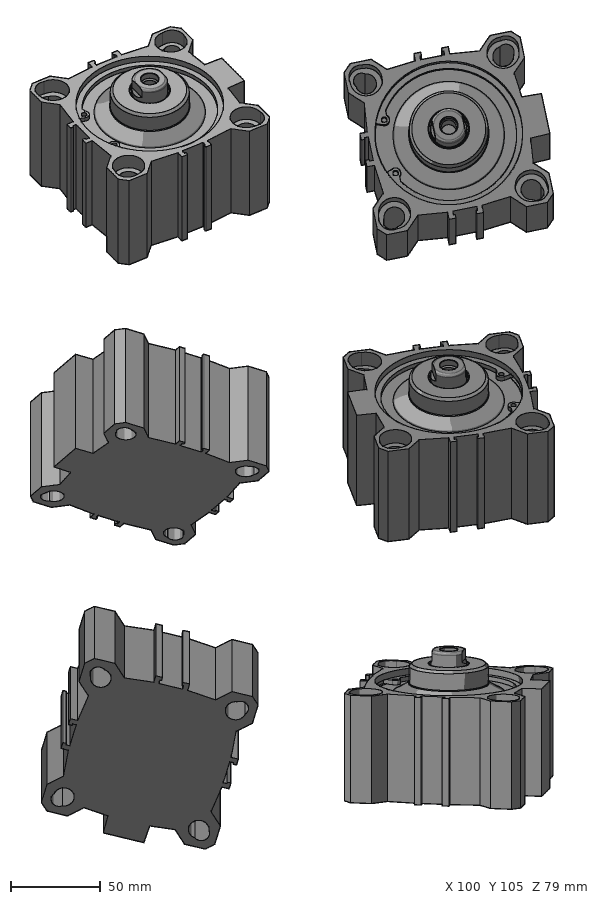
import cadquery as cq
import math

body_half = 50.0
body_height = 61.0
corner_flat_end = 33.7
corner_chamfer = 4.4
waist_start = 26.2
waist_at_corner = 42.5
waist_at_middle = 44.2

rib_reach = 48.4
rib_outer = 9.8
rib_thickness = 2.9
hook_length = 0.9
hook_thickness = 2.1
hook_radius = 0.4
rib_root = 1.0

port_reach = 55.0
port_tip_width = 23.4
port_root_width = 24.2

bolt_offset = 38.8
bolt_diameter = 11.4
bolt_bore_diameter = 18.0
relief_offset = 41.0
relief_diameter = 9.0
relief_bore_diameter = 14.2
bolt_bore_depth = 9.0

recess_diameter = 82.1
groove_diameter = 85.6

ring_depth = 3.7
ring_thickness = 2.5
ring_inner_diameter = 75.5
ring_top = body_height - ring_depth
ring_bottom = ring_top - ring_thickness
lug_radial = 36.9
lug_angle = 25.0
lug_diameter = 5.9
lug_hole_diameter = 3.0
lug_shoulder = 31.5

cover_diameter = 81.7
cover_thickness = 21.0
cover_top = ring_bottom
cover_bottom = cover_top - cover_thickness
cone_diameter = 62.0
cone_tip_diameter = 44.7
cone_rise = 4.7
cone_foot_chamfer = 0.4
boss_foot_height = 0.5
boss_diameter = 44.0
boss_top = 71.0
boss_chamfer = 1.5
mouth_diameter = 23.0
wiper_diameter = 21.9
wiper_depth = 1.6
lip_diameter = 20.6

rod_diameter = 20.0
rod_top = 79.0
rod_fillet = 1.6
flat_half_width = 8.5
flat_height = 6.0
tap_mouth_diameter = 10.3
tap_mouth_chamfer = 0.2
tap_mouth_depth = 3.7
tap_seat_depth = 0.9
tap_diameter = 8.4
tap_depth = 15.8
tap_point_angle = 118.0


def cylinder(diameter, bottom, top):
    return cq.Workplane("XY").workplane(offset=bottom).circle(diameter / 2).extrude(top - bottom)


def turn(points):
    """Solid of revolution about Z from (radius, height) points."""
    return cq.Workplane("XZ").polyline(points).close().revolve(360, (0, 0), (0, 1))


def rotate_point(point, angle):
    c = math.cos(math.radians(angle))
    s = math.sin(math.radians(angle))
    return (point[0] * c - point[1] * s, point[0] * s + point[1] * c)


def make_profile():
    chamfer_start = body_half - corner_chamfer
    quarter = [
        (body_half, corner_flat_end),
        (body_half, chamfer_start),
        (chamfer_start, body_half),
        (corner_flat_end, body_half),
        (waist_start, waist_at_corner),
        (rib_outer, waist_at_middle),
        (-rib_outer, waist_at_middle),
        (-waist_start, waist_at_corner),
    ]
    outline = [rotate_point(p, angle) for angle in (0, 90, 180, 270) for p in quarter]
    return cq.Workplane("XY").polyline(outline).close().extrude(body_height)


def make_rib_pair():
    """Two facing hooked ribs on the +X side."""
    root = waist_at_middle - rib_root
    inner = rib_outer - rib_thickness
    tip = inner - hook_length
    rib = (
        cq.Workplane("XY")
        .moveTo(root, rib_outer)
        .lineTo(rib_reach, rib_outer)
        .lineTo(rib_reach, tip)
        .lineTo(rib_reach - hook_thickness, tip)
        .lineTo(rib_reach - hook_thickness, inner)
        .lineTo(root, inner)
        .close()
        .extrude(body_height)
    )
    hook_edges = cq.selectors.BoxSelector(
        (rib_reach - hook_thickness - hook_radius, tip - hook_radius, 0),
        (rib_reach + hook_radius, tip + hook_radius, body_height),
    )
    rib = rib.edges("|Z").edges(hook_edges).fillet(hook_radius)
    return rib.union(rib.mirror("XZ"))


def make_port_block():
    root = waist_at_middle - rib_root
    return (
        cq.Workplane("XY")
        .polyline([
            (-port_root_width / 2, root),
            (port_root_width / 2, root),
            (port_tip_width / 2, port_reach),
            (-port_tip_width / 2, port_reach),
        ])
        .close()
        .extrude(body_height)
    )


def make_bolt_hole(angle):
    bore_floor = body_height - bolt_bore_depth
    hole = None
    for offset, through, bore in (
        (bolt_offset, bolt_diameter, bolt_bore_diameter),
        (relief_offset, relief_diameter, relief_bore_diameter),
    ):
        lobe = cylinder(through, 0, body_height).union(cylinder(bore, bore_floor, body_height))
        lobe = lobe.translate((offset, offset, 0))
        hole = lobe if hole is None else hole.union(lobe)
    return hole.rotate((0, 0, 0), (0, 0, 1), angle)


def make_housing():
    body = make_profile().union(make_port_block())
    for angle in (0, 180, 270):
        body = body.union(make_rib_pair().rotate((0, 0, 0), (0, 0, 1), angle))
    for angle in (0, 90, 180, 270):
        body = body.cut(make_bolt_hole(angle))
    body = body.cut(cylinder(recess_diameter, cover_bottom, body_height))
    return body.cut(cylinder(groove_diameter, ring_bottom, ring_top))


def ring_plate(points):
    return cq.Workplane("XY").workplane(offset=ring_bottom).polyline(points).close().extrude(ring_thickness)


def make_retaining_ring():
    outer = groove_diameter / 2
    inner = ring_inner_diameter / 2
    lug_radius = lug_diameter / 2
    end_angle = lug_angle - math.degrees(math.asin(lug_radius / lug_radial))
    shoulder_x = math.sqrt(inner ** 2 - lug_shoulder ** 2)
    lug = rotate_point((0, -lug_radial), lug_angle)
    touch = rotate_point((0, -math.sqrt(lug_radial ** 2 - lug_radius ** 2)), end_angle)
    end = rotate_point((0, -outer), end_angle)

    disc = cylinder(groove_diameter, ring_bottom, ring_top)
    gap_corner = rotate_point((0, -2 * outer), end_angle)
    gap = ring_plate([(0, 0), gap_corner, (-gap_corner[0], gap_corner[1])])
    ring = disc.cut(cylinder(ring_inner_diameter, ring_bottom, ring_top)).cut(gap)

    web = ring_plate([
        (shoulder_x, -lug_shoulder),
        (lug[0], -lug_shoulder),
        lug,
        touch,
        end,
        (shoulder_x, -inner),
    ]).intersect(disc)
    eye = cylinder(lug_diameter, ring_bottom, ring_top).translate((*lug, 0))
    eye_hole = cylinder(lug_hole_diameter, ring_bottom, ring_top).translate((*lug, 0))
    end_piece = web.union(eye)
    ring = ring.union(end_piece).union(end_piece.mirror("YZ"))
    return ring.cut(eye_hole).cut(eye_hole.mirror("YZ"))


def make_cover():
    lip_chamfer = (lip_diameter - rod_diameter) / 2
    mouth_chamfer = (mouth_diameter - wiper_diameter) / 2
    wiper_floor = boss_top - wiper_depth
    cone_top = cover_top + cone_rise
    return turn([
        (rod_diameter / 2, cover_bottom),
        (cover_diameter / 2, cover_bottom),
        (cover_diameter / 2, cover_top),
        (cone_diameter / 2, cover_top),
        (cone_diameter / 2 - cone_foot_chamfer, cover_top + cone_foot_chamfer),
        (cone_tip_diameter / 2, cone_top),
        (boss_diameter / 2, cone_top + boss_foot_height),
        (boss_diameter / 2, boss_top - boss_chamfer),
        (boss_diameter / 2 - boss_chamfer, boss_top),
        (mouth_diameter / 2, boss_top),
        (wiper_diameter / 2, boss_top - mouth_chamfer),
        (wiper_diameter / 2, wiper_floor),
        (lip_diameter / 2, wiper_floor),
        (rod_diameter / 2, wiper_floor - lip_chamfer),
    ])


def make_flat_cutter():
    """Wrench flat on the -Y side, running out at 45 degrees below."""
    flat_bottom = rod_top - flat_height
    run_out = rod_diameter / 2 - flat_half_width
    return (
        cq.Workplane("YZ")
        .polyline([
            (-flat_half_width, rod_top),
            (-flat_half_width, flat_bottom),
            (-flat_half_width - run_out, flat_bottom - run_out),
            (-flat_half_width - run_out, rod_top),
        ])
        .close()
        .extrude(rod_diameter / 2, both=True)
    )


def make_rod():
    rod = cylinder(rod_diameter, cover_bottom, rod_top).faces(">Z").edges().fillet(rod_fillet)
    flat = make_flat_cutter()
    rod = rod.cut(flat).cut(flat.mirror("XZ"))
    mouth_radius = tap_mouth_diameter / 2
    seat_top = rod_top - tap_mouth_depth
    tap_floor = rod_top - tap_depth
    point_length = tap_diameter / 2 / math.tan(math.radians(tap_point_angle / 2))
    tap = turn([
        (0, rod_top),
        (mouth_radius, rod_top),
        (mouth_radius - tap_mouth_chamfer, rod_top - tap_mouth_chamfer),
        (mouth_radius - tap_mouth_chamfer, seat_top),
        (tap_diameter / 2, seat_top - tap_seat_depth),
        (tap_diameter / 2, tap_floor),
        (0, tap_floor - point_length),
    ])
    return rod.cut(tap)


housing = make_housing()
retaining_ring = make_retaining_ring()
cover = make_cover()
rod = make_rod()

result = cq.Compound.makeCompound([
    housing.val(),
    retaining_ring.val(),
    cover.val(),
    rod.val(),
])